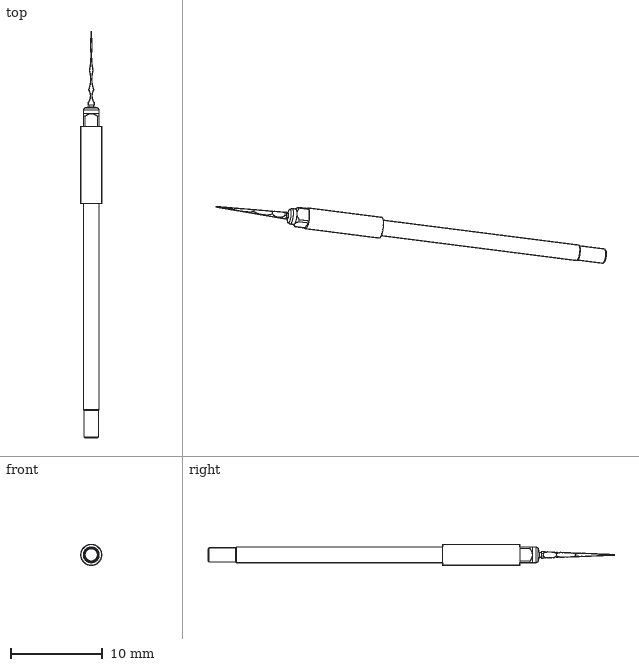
import cadquery as cq

LENGTH = 44.3

TAIL_DIA = 1.6
TAIL_CHAMFER = 0.15
SHANK_START = 3.0
SHANK_DIA = 1.73
SHANK_CHAMFER = 0.1
SLEEVE_START = 25.55
SLEEVE_DIA = 2.3

FLATS_START = 34.0
HEAD_DIA = 2.2
ACROSS_FLATS = 1.73
SHOULDER_START = 35.1
COLLAR_START = 35.35
COLLAR_DIA = 1.73
COLLAR_END = 35.75
NOSE_DIA = 1.5
NOSE_END = 35.95
NECK_START = 36.1
NECK_DIA = 0.55

TIP_START = 36.33
TIP_BASE_DIA = 0.75
TIP_END_DIA = 0.1
CRESTS = (TIP_START + 0.2, 37.95, 40.05, 42.65)
CREST_RATIO = 0.94
WAIST_RATIO = 0.3


def tip_radius(y):
    """Radius of the tip's cone at a given Y."""
    along = (y - TIP_START) / (LENGTH - TIP_START)
    return (TIP_BASE_DIA + along * (TIP_END_DIA - TIP_BASE_DIA)) / 2


def make_handle():
    """Turned body from the tail to the neck, round all over before the flats are cut."""
    profile = (
        cq.Workplane("YZ")
        .lineTo(0, TAIL_DIA / 2 - TAIL_CHAMFER)
        .lineTo(TAIL_CHAMFER, TAIL_DIA / 2)
        .lineTo(SHANK_START, TAIL_DIA / 2)
        .lineTo(SHANK_START, SHANK_DIA / 2 - SHANK_CHAMFER)
        .lineTo(SHANK_START + SHANK_CHAMFER, SHANK_DIA / 2)
        .lineTo(SLEEVE_START, SHANK_DIA / 2)
        .lineTo(SLEEVE_START, SLEEVE_DIA / 2)
        .lineTo(FLATS_START, SLEEVE_DIA / 2)
        .lineTo(FLATS_START, HEAD_DIA / 2)
        .lineTo(SHOULDER_START, HEAD_DIA / 2)
        .lineTo(COLLAR_START, COLLAR_DIA / 2)
        .lineTo(COLLAR_END, COLLAR_DIA / 2)
        .lineTo(NOSE_END, NOSE_DIA / 2)
        .lineTo(NECK_START, NECK_DIA / 2)
        .lineTo(TIP_START, NECK_DIA / 2)
        .lineTo(TIP_START, 0)
        .close()
    )
    return profile.revolve(360, (0, 0, 0), (1, 0, 0))


def make_flats_cutter():
    """Material outside a square bar, over the length of the flats."""
    flats_length = COLLAR_START - FLATS_START
    middle = (FLATS_START + COLLAR_START) / 2
    blank = cq.Workplane("XY").box(SLEEVE_DIA * 2, flats_length, SLEEVE_DIA * 2)
    bar = cq.Workplane("XY").box(ACROSS_FLATS, flats_length, ACROSS_FLATS)
    return blank.cut(bar).translate((0, middle, 0))


def make_tip():
    """Cone limited in X by a symmetric outline of hollow arcs between the crests."""
    cone = (
        cq.Workplane("XY")
        .moveTo(0, TIP_START)
        .lineTo(TIP_BASE_DIA / 2, TIP_START)
        .lineTo(TIP_END_DIA / 2, LENGTH)
        .lineTo(0, LENGTH)
        .close()
        .revolve(360, (0, 0, 0), (0, 1, 0))
    )
    outline = (
        cq.Workplane("XY")
        .moveTo(0, TIP_START)
        .lineTo(CREST_RATIO * tip_radius(CRESTS[0]), TIP_START)
        .lineTo(CREST_RATIO * tip_radius(CRESTS[0]), CRESTS[0])
    )
    for start, end in zip(CRESTS, CRESTS[1:]):
        middle = (start + end) / 2
        waist = (WAIST_RATIO * tip_radius(middle), middle)
        outline = outline.threePointArc(waist, (CREST_RATIO * tip_radius(end), end))
    outline = outline.lineTo(WAIST_RATIO * TIP_END_DIA / 2, LENGTH).lineTo(0, LENGTH)
    plan = outline.mirrorY().extrude(TIP_BASE_DIA, both=True)
    return cone.intersect(plan)


result = make_handle().cut(make_flats_cutter()).union(make_tip())